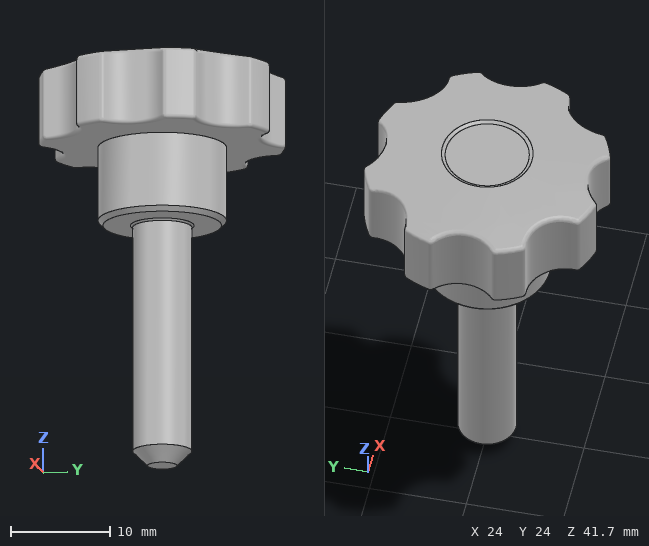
import cadquery as cq
import math

overall_height = 41.65
boss_bottom = 25.0
head_bottom = 33.08

head_radius = 12.5
dome_radius = 56.65
lobe_count = 8
scallop_radius = 4.0
scallop_depth = 2.0
lobe_edge_fillet = 0.5
head_top_fillet = 0.5
head_bottom_fillet = 0.4

recess_floor_radius = 4.25
recess_rim_radius = 4.62
recess_depth = 0.2

boss_radius = 13.0 / 2
boss_chamfer = 0.5
shank_radius = 6.0 / 2
collar_flare = 0.2
tip_radius = 1.5
tip_height = 1.5


def dome_height(radius):
    """Height of the spherical dome, which meets the recess rim at the overall height."""
    rim_rise = math.sqrt(dome_radius**2 - recess_rim_radius**2)
    return overall_height - rim_rise + math.sqrt(dome_radius**2 - radius**2)


def domed_blank():
    """Round head with a spherical top."""
    return (
        cq.Workplane("XZ")
        .moveTo(0, head_bottom)
        .lineTo(head_radius, head_bottom)
        .lineTo(head_radius, dome_height(head_radius))
        .threePointArc((head_radius / 2, dome_height(head_radius / 2)), (0, dome_height(0)))
        .close()
        .revolve(360, (0, 0), (0, 1))
    )


def scalloped_head():
    """Head with finger scallops around its rim and rounded edges."""
    scallop_centre_radius = head_radius - scallop_depth + scallop_radius
    scallops = (
        cq.Workplane("XY", origin=(0, 0, head_bottom))
        .polarArray(scallop_centre_radius, 0, 360, lobe_count)
        .circle(scallop_radius)
        .extrude(overall_height - head_bottom)
    )
    head = domed_blank().cut(scallops)
    head = head.edges("|Z").fillet(lobe_edge_fillet)
    head = head.faces("<Z").edges().fillet(head_bottom_fillet)
    return head.faces(">Z").edges().fillet(head_top_fillet)


def recess():
    """Tapered disc that cuts the recess and clears the dome above it."""
    dome_top = dome_height(0)
    return (
        cq.Workplane("XZ")
        .moveTo(0, overall_height - recess_depth)
        .lineTo(recess_floor_radius, overall_height - recess_depth)
        .lineTo(recess_rim_radius, overall_height)
        .lineTo(recess_rim_radius, dome_top)
        .lineTo(0, dome_top)
        .close()
        .revolve(360, (0, 0), (0, 1))
    )


def boss():
    """Cylinder under the head, chamfered at its lower edge."""
    return (
        cq.Workplane("XY", origin=(0, 0, boss_bottom))
        .circle(boss_radius)
        .extrude(head_bottom - boss_bottom)
        .faces("<Z")
        .edges()
        .chamfer(boss_chamfer)
    )


def shank():
    """Plain shank with a conical tip and a small flare where it enters the boss."""
    return (
        cq.Workplane("XZ")
        .lineTo(tip_radius, 0)
        .lineTo(shank_radius, tip_height)
        .lineTo(shank_radius, boss_bottom - collar_flare)
        .lineTo(shank_radius + collar_flare, boss_bottom)
        .lineTo(0, boss_bottom)
        .close()
        .revolve(360, (0, 0), (0, 1))
    )


result = scalloped_head().cut(recess()).union(boss()).union(shank())